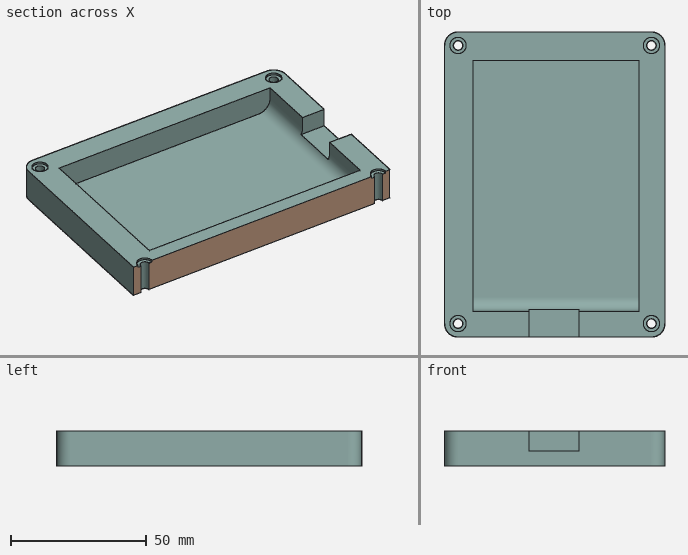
import cadquery as cq

length_x = 81.2
length_y = 112.4
height = 13.0
corner_radius = 5.0

thick_wall = 10.5
thin_wall = 9.5
floor_thickness = 3.0
pocket_x = length_x - thick_wall - thin_wall
pocket_y = length_y - thick_wall - thin_wall
pocket_depth = height - floor_thickness
pocket_shift = (thick_wall - thin_wall) / 2
pocket_fillet = 5.0

notch_width = 18.4
notch_depth = 7.5
notch_centre_x = -0.2
notch_length = thin_wall + pocket_fillet

hole_diameter = 3.4
counterbore_diameter = 6.0
counterbore_depth = 0.8
hole_x = length_x / 2 - corner_radius
hole_y = length_y / 2 - corner_radius


def make_block():
    """Plate with rounded vertical corners, standing on Z = 0."""
    block = cq.Workplane("XY").box(length_x, length_y, height, centered=(True, True, False))
    return block.edges("|Z").fillet(corner_radius)


def make_pocket():
    """Pocket volume; its bottom edge along the -Y wall is rounded."""
    pocket = cq.Workplane("XY").box(pocket_x, pocket_y, pocket_depth, centered=(True, True, False))
    pocket = pocket.faces("<Z").edges("<Y").fillet(pocket_fillet)
    return pocket.translate((pocket_shift, -pocket_shift, floor_thickness))


def make_notch():
    """Notch volume, from the -Y face through the wall into the pocket."""
    notch = cq.Workplane("XY").box(notch_width, notch_length, notch_depth, centered=(True, False, False))
    return notch.translate((notch_centre_x, -length_y / 2, height - notch_depth))


def drill_corners(body):
    """Counterbored through holes, one at each corner."""
    centres = [(x, y) for x in (-hole_x, hole_x) for y in (-hole_y, hole_y)]
    top = body.faces(">Z").workplane(origin=(0, 0, height))
    return top.pushPoints(centres).cboreHole(hole_diameter, counterbore_diameter, counterbore_depth)


block = drill_corners(make_block())
result = block.cut(make_pocket()).cut(make_notch())